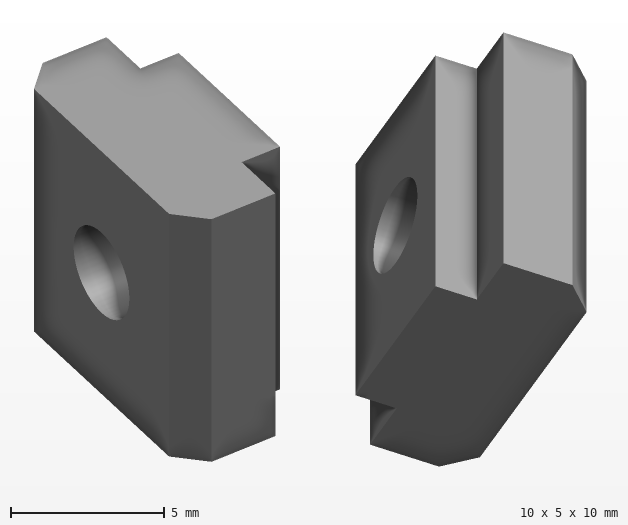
import cadquery as cq

width = 10.0
depth = 5.0
height = 10.0
tongue_width = 6.0
tongue_depth = 1.5
chamfer = 1.0
hole_diameter = 3.3

half_width = width / 2
half_tongue = tongue_width / 2
front = -depth / 2
back = depth / 2
shoulder = back - tongue_depth

body = (
    cq.Workplane("XY", origin=(0, 0, -height / 2))
    .moveTo(0, front)
    .lineTo(half_width - chamfer, front)
    .lineTo(half_width, front + chamfer)
    .lineTo(half_width, shoulder)
    .lineTo(half_tongue, shoulder)
    .lineTo(half_tongue, back)
    .lineTo(0, back)
    .mirrorY()
    .extrude(height)
)

hole = (
    cq.Workplane("XZ", origin=(0, back, 0))
    .circle(hole_diameter / 2)
    .extrude(depth)
)

result = body.cut(hole)